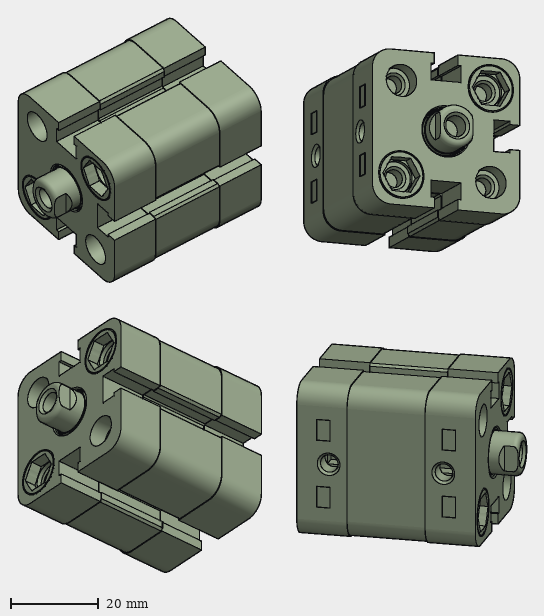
import cadquery as cq
import math


total_length = 48.6
rod_projection = 6.5
cap_length = 11.85
body_length = total_length - rod_projection
barrel_length = body_length - 2 * cap_length
barrel_start = cap_length

cap_side = 36.3
barrel_inset = 0.2
barrel_side = cap_side - 2 * barrel_inset
corner_radius = 4.45

cap_mouth_width = 5.85
cap_slot_width = 7.4
cap_slot_depth = 6.4
barrel_mouth_width = 5.4
barrel_slot_width = 7.0
barrel_slot_depth = 6.2
barrel_lip_chamfer = 0.6
barrel_floor_chamfer = 0.4
lip_thickness = 2.5
slot_angles = (-90, 0, 90)

thread_hole_diameter = 4.15
thread_mouth_diameter = 5.35

corner_spacing = 22.0
corner_offset = corner_spacing / 2
counterbore_diameter = 7.5
counterbore_depth = 4.35
thread_depth = 3.9
ring_outer_diameter = 11.1
ring_inner_diameter = 10.5
socket_relief_diameter = 8.0
socket_bore_diameter = 7.55
socket_across_flats = 7.9
hexagon_depth = 2.85
socket_depth = 4.0

port_inset = 7.55
port_depth = 4.85
channel_height = 3.0
front_channel_inset = 4.85
rear_channel_inset = 6.0
core_diameter = 20.0
panel_inset = 6.25
panel_width = 3.1
panel_height = 4.95
panel_offset = 8.0
panel_depth = 0.2

rod_diameter = 10.0
rod_tip_fillet = 1.2
rod_across_flats = 7.95
rod_flat_length = 3.3
rod_hole_diameter = 4.9
rod_hole_mouth_diameter = 6.25
rod_hole_depth = 5.85

gland_mouth_diameter = 12.0
gland_diameter = 11.4
gland_depth = 0.95
lip_tip_diameter = 10.5
lip_base_diameter = 10.9
lip_height = 0.7


def section(y):
    """Sketch plane across the cylinder at y: local x is X, local y is Z, extrusion goes to +Y."""
    return cq.Workplane(cq.Plane(origin=(0, y, 0), xDir=(1, 0, 0), normal=(0, -1, 0)))


def rounded_block(y, length, side):
    """Square block with rounded long edges, starting at y."""
    return section(y).rect(side, side).extrude(-length).edges("|Y").fillet(corner_radius)


def turned(points, x=0, z=0):
    """Solid of revolution about the line along Y through (x, z), from (radius, y) points."""
    return (
        cq.Workplane("XY").polyline(points).close()
        .revolve(360, (0, 0, 0), (0, 1, 0))
        .translate((x, 0, z))
    )


def cut_slots(body, profile, y, length):
    """Cut the slot profile, which opens to +X, on each slotted side; the -X side stays closed."""
    slot = section(y).polyline(profile).close().extrude(-length)
    for angle in slot_angles:
        body = body.cut(slot.rotate((0, 0, 0), (0, 1, 0), angle))
    return body


def mirrored(half):
    """Whole slot profile from the (x, z) points of its +Z half."""
    return half + [(x, -z) for x, z in reversed(half)]


def threaded_hole_points(diameter, mouth_diameter, depth, start=0):
    """Half section of a blind hole with a 45-degree mouth chamfer, as (radius, y) points."""
    chamfer = (mouth_diameter - diameter) / 2
    return [
        (0, start),
        (mouth_diameter / 2, start),
        (diameter / 2, start + chamfer),
        (diameter / 2, start + depth),
        (0, start + depth),
    ]


def corner_thread(start, x, z):
    """Cutter for a threaded fixing hole whose mouth is at Y = start."""
    points = threaded_hole_points(thread_hole_diameter, thread_mouth_diameter, thread_depth, start)
    return turned(points, x, z)


def cap_blank(channel_inset):
    """Cap with its outer face at Y = 0: block, slots, air port and marking panels."""
    cap = rounded_block(0, cap_length, cap_side)
    face = cap_side / 2
    lip = face - lip_thickness
    floor = face - cap_slot_depth
    half = [
        (face, cap_mouth_width / 2),
        (lip, cap_mouth_width / 2),
        (lip, cap_slot_width / 2),
        (floor, cap_slot_width / 2),
    ]
    cap = cut_slots(cap, mirrored(half), 0, cap_length)

    port = turned(threaded_hole_points(thread_hole_diameter, thread_mouth_diameter, port_depth))
    cap = cap.cut(port.rotate((0, 0, 0), (0, 0, 1), -90).translate((-face, port_inset, 0)))
    channel = cq.Workplane("XY").box(
        face - port_depth, cap_length - channel_inset, channel_height, centered=(False, False, True)
    ).translate((port_depth - face, channel_inset, 0))
    core = section(0).circle(core_diameter / 2).extrude(-cap_length)
    cap = cap.cut(channel.cut(core))

    for z in (-panel_offset, panel_offset):
        panel = cq.Workplane("XY").box(2 * panel_depth, panel_width, panel_height)
        cap = cap.cut(panel.translate((-face, panel_inset, z)))
    return cap


def screw_socket(x, z):
    """Cutter for a hollow socket-head screw: bevelled rim, hexagon socket, threaded hole."""
    bevel = (ring_outer_diameter - ring_inner_diameter) / 2
    rim = turned([
        (ring_inner_diameter / 2, 0),
        (ring_outer_diameter / 2, 0),
        (ring_outer_diameter / 2, bevel),
    ])
    corner_to_corner = socket_across_flats / math.cos(math.pi / 6)
    hexagon = section(0).polygon(6, corner_to_corner).extrude(-hexagon_depth)
    relief = section(0).circle(socket_relief_diameter / 2).extrude(-hexagon_depth)
    bore = section(0).circle(socket_bore_diameter / 2).extrude(-socket_depth)
    socket = hexagon.union(relief).union(bore).union(rim).translate((x, 0, z))
    return socket.union(corner_thread(socket_depth, x, z))


def plain_corner(x, z):
    """Cutter for a counterbore with a threaded hole in its floor."""
    bore = section(0).center(x, z).circle(counterbore_diameter / 2).extrude(-counterbore_depth)
    return bore.union(corner_thread(counterbore_depth, x, z))


def gland_recess():
    """Bevelled recess around the rod that leaves a conical wiper lip standing on its floor."""
    mouth_bevel = (gland_mouth_diameter - gland_diameter) / 2
    return turned([
        (rod_diameter / 2, 0),
        (gland_mouth_diameter / 2, 0),
        (gland_diameter / 2, mouth_bevel),
        (gland_diameter / 2, gland_depth),
        (lip_base_diameter / 2, gland_depth),
        (lip_tip_diameter / 2, gland_depth - lip_height),
        (rod_diameter / 2, gland_depth - lip_height),
    ])


def make_front_cap():
    """Cap with the rod bore, the gland and the four fixing corners."""
    cap = cap_blank(front_channel_inset)
    cap = cap.cut(section(0).circle(rod_diameter / 2).extrude(-cap_length))
    cap = cap.cut(gland_recess())
    for side in (-1, 1):
        offset = side * corner_offset
        cap = cap.cut(screw_socket(offset, offset))
        cap = cap.cut(plain_corner(offset, -offset))
    return cap


def make_rear_cap():
    """Plain cap: the mirror image of the cap blank at the far end."""
    return cap_blank(rear_channel_inset).mirror("XZ").translate((0, body_length, 0))


def make_barrel():
    """Slightly smaller middle section, whose slots have bevelled lips and floor corners."""
    barrel = rounded_block(barrel_start, barrel_length, barrel_side)
    face = barrel_side / 2
    lip = cap_side / 2 - lip_thickness
    floor = cap_side / 2 - barrel_slot_depth
    mouth = barrel_mouth_width / 2
    wall = barrel_slot_width / 2
    half = [
        (face, mouth + barrel_lip_chamfer),
        (face - barrel_lip_chamfer, mouth),
        (lip, mouth),
        (lip, wall),
        (floor + barrel_floor_chamfer, wall),
        (floor, wall - barrel_floor_chamfer),
    ]
    return cut_slots(barrel, mirrored(half), barrel_start, barrel_length)


def make_rod():
    """Rod through the front cap, with a rounded tip, two wrench flats and a threaded end hole."""
    tip = -rod_projection
    rod = section(tip).circle(rod_diameter / 2).extrude(-(rod_projection + cap_length))
    rod = rod.faces("<Y").edges().fillet(rod_tip_fillet)
    flat_depth = (rod_diameter - rod_across_flats) / 2
    inner = rod_across_flats / 2
    outer = rod_diameter / 2
    for side in (-1, 1):
        flat = (
            cq.Workplane("XY")
            .polyline([
                (side * inner, tip),
                (side * inner, tip + rod_flat_length),
                (side * outer, tip + rod_flat_length + flat_depth),
                (side * outer, tip),
            ])
            .close().extrude(outer, both=True)
        )
        rod = rod.cut(flat)
    hole = threaded_hole_points(rod_hole_diameter, rod_hole_mouth_diameter, rod_hole_depth, tip)
    return rod.cut(turned(hole))


front_cap = make_front_cap()
barrel = make_barrel()
rear_cap = make_rear_cap()
rod = make_rod()

result = cq.Compound.makeCompound([front_cap.val(), barrel.val(), rear_cap.val(), rod.val()])